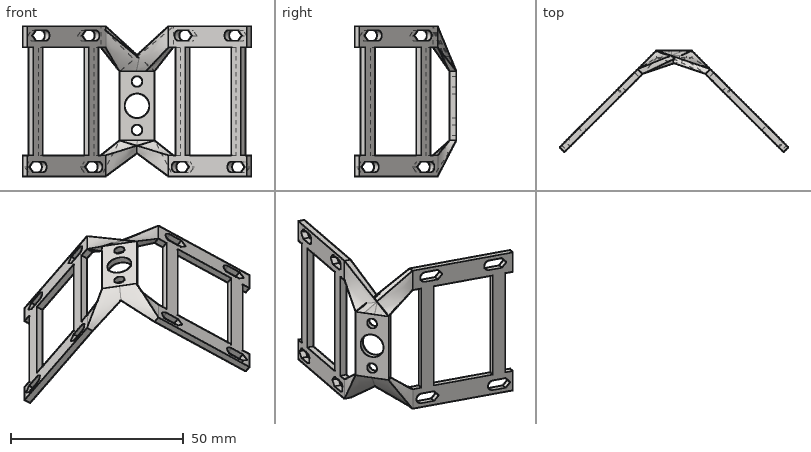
import cadquery as cq
import math

overall_width = 66.25
thickness = 2.0
wing_angle = 45.0

plate_width = 10.2
plate_height = 20.0
bore_diameter = 7.0
screw_hole_diameter = 3.0
screw_hole_offset = 7.0

top_rail_top = 23.05
bottom_rail_bottom = -20.5
rail_height = 6.15
rail_length = 32.0
post_width = 4.0
post_centre = 16.2
post_spacing = 22.8

slot_width = 3.0
slot_straight = 4.05
top_slot_z = 20.35
top_slot_spacing = 20.4
bottom_slot_z = -17.7
bottom_slot_spacing = post_spacing

top_arm_split_x = 2.6
top_arm_bevel = 1.2
join_tolerance = 0.001

cos_wing = math.cos(math.radians(wing_angle))
sin_wing = math.sin(math.radians(wing_angle))
top_rail_bottom = top_rail_top - rail_height
bottom_rail_top = bottom_rail_bottom + rail_height
rail_start_x = overall_width / 2 - rail_length * cos_wing
rail_start_y = -(rail_start_x - plate_width / 2) * math.tan(math.radians(wing_angle))

wing_plane = cq.Plane(
    origin=(rail_start_x, rail_start_y, 0),
    xDir=(cos_wing, -sin_wing, 0),
    normal=(-sin_wing, -cos_wing, 0),
)


def wing_bar(start, end, bottom, top):
    """Rectangular bar of the wing, from start to end along the rail."""
    return (
        cq.Workplane(wing_plane)
        .moveTo(start, bottom)
        .lineTo(end, bottom)
        .lineTo(end, top)
        .lineTo(start, top)
        .close()
        .extrude(thickness)
    )


def slot(centre, height):
    """Cutter for one slot, with a 45 degree point at its outer end."""
    radius = slot_width / 2
    inner = centre - slot_straight / 2
    outer = centre + slot_straight / 2
    return (
        cq.Workplane(wing_plane)
        .moveTo(inner, height - radius)
        .lineTo(outer, height - radius)
        .lineTo(outer + radius, height)
        .lineTo(outer, height + radius)
        .lineTo(inner, height + radius)
        .threePointArc((inner - radius, height), (inner, height - radius))
        .close()
        .extrude(thickness)
    )


def flat_face(corners):
    """Flat face bounded by straight edges through the corners."""
    return cq.Face.makeFromWires(cq.Wire.makePolygon(corners, close=True))


def side_face(rail_a, rail_b, plate_a, plate_b):
    """Side of an arm between two neighbouring straight edges; a triangle where two corners agree."""
    if rail_a == rail_b:
        return flat_face([rail_a, plate_a, plate_b])
    if plate_a == plate_b:
        return flat_face([rail_a, rail_b, plate_a])
    return cq.Face.makeRuledSurface(cq.Edge.makeLine(rail_a, rail_b), cq.Edge.makeLine(plate_a, plate_b))


def rail_point(depth, z):
    """Point on the inner end of the right-hand rails, at a depth in front of the back face."""
    return cq.Vector(rail_start_x - depth * sin_wing, rail_start_y - depth * cos_wing, z)


def arm(edges):
    """Solid with straight edges, each a (rail point, plate point) pair in order round the arm."""
    faces = []
    for index, (rail_b, plate_b) in enumerate(edges):
        rail_a, plate_a = edges[index - 1]
        faces.append(side_face(rail_a, rail_b, plate_a, plate_b))
    for ends in zip(*edges):
        corners = [point for index, point in enumerate(ends) if point != ends[index - 1]]
        faces.append(flat_face(corners))
    return cq.Workplane(cq.Solid.makeSolid(cq.Shell.makeShell(faces)).fix())


def rail_end_corners(inner_z, outer_z):
    """Corners of a rail end: inner front, outer front, outer back and inner back."""
    return (
        rail_point(thickness, inner_z),
        rail_point(thickness, outer_z),
        rail_point(0, outer_z),
        rail_point(0, inner_z),
    )


def plate_edge_corners(z):
    """Corners of a plate edge: far front, far back, near back and near front of the right wing."""
    return (
        cq.Vector(-plate_width / 2, -thickness, z),
        cq.Vector(-plate_width / 2, 0, z),
        cq.Vector(plate_width / 2, 0, z),
        cq.Vector(plate_width / 2, -thickness, z),
    )


def bottom_arm():
    """Arm of the right wing to the plate's bottom edge, twisted by a quarter turn."""
    rail_corners = rail_end_corners(bottom_rail_top, bottom_rail_bottom)
    return arm(list(zip(rail_corners, plate_edge_corners(-plate_height / 2))))


def right_top_arm():
    """Arm of the right wing to the plate's top edge, with its underside split off the front."""
    inner_front, outer_front, outer_back, inner_back = rail_end_corners(top_rail_bottom, top_rail_top)
    far_front, far_back, near_back, near_front = plate_edge_corners(plate_height / 2)
    split = cq.Vector(top_arm_split_x, -thickness, plate_height / 2)
    return arm([
        (inner_front, split),
        (outer_front, far_front),
        (outer_back, far_back),
        (inner_back, near_back),
        (inner_back, near_front),
    ])


def left_top_arm():
    """Arm of the left wing to the plate's top edge, with a narrow bevel along its front upper edge."""
    inner_front, outer_front, outer_back, inner_back = rail_end_corners(top_rail_bottom, top_rail_top)
    far_front, far_back, near_back, near_front = plate_edge_corners(plate_height / 2)
    bevel = rail_point(thickness, top_rail_top - top_arm_bevel)
    split = cq.Vector(-top_arm_split_x, 0, plate_height / 2)
    right_handed = arm([
        (inner_front, near_front),
        (bevel, far_front),
        (bevel, far_back),
        (outer_front, far_back),
        (outer_back, split),
        (inner_back, near_back),
    ])
    return right_handed.mirror("YZ")


def wing():
    """Right-hand wing with its rails, posts, slots and bottom arm."""
    body = wing_bar(0, rail_length, top_rail_bottom, top_rail_top)
    body = body.union(wing_bar(0, rail_length, bottom_rail_bottom, bottom_rail_top))
    for side in (-1, 1):
        centre = post_centre + side * post_spacing / 2
        start = centre - post_width / 2
        body = body.union(wing_bar(start, start + post_width, bottom_rail_top, top_rail_bottom))
    for side in (-1, 1):
        body = body.cut(slot(post_centre + side * top_slot_spacing / 2, top_slot_z))
        body = body.cut(slot(post_centre + side * bottom_slot_spacing / 2, bottom_slot_z))
    return body.union(bottom_arm())


def plate():
    """Centre plate with its bore and the two screw holes above and below it."""
    return (
        cq.Workplane("XZ")
        .rect(plate_width, plate_height)
        .extrude(thickness)
        .faces("<Y")
        .workplane(origin=(0, 0, 0))
        .circle(bore_diameter / 2)
        .pushPoints([(0, screw_hole_offset), (0, -screw_hole_offset)])
        .circle(screw_hole_diameter / 2)
        .cutThruAll()
    )


right_wing = wing()
left_wing = right_wing.mirror("YZ")
top_arms = right_top_arm().union(left_top_arm(), tol=join_tolerance)
result = plate().union(right_wing).union(left_wing).union(top_arms).solids()